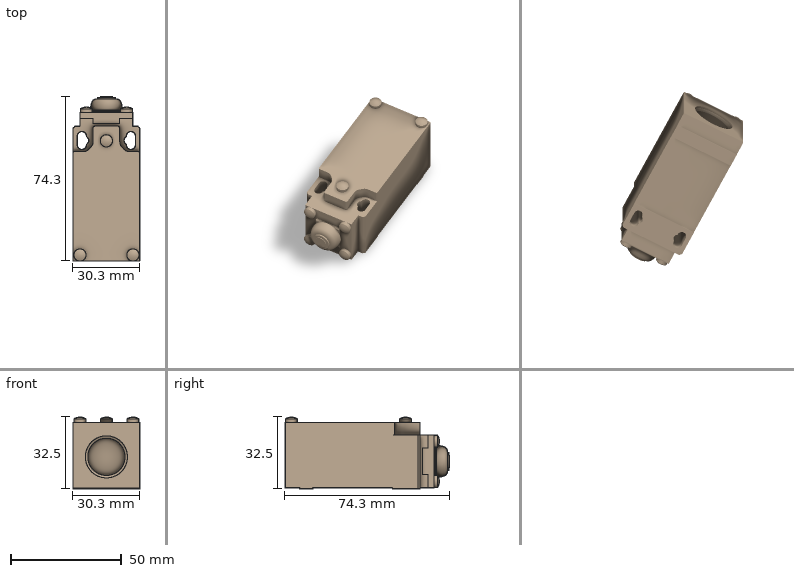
import cadquery as cq
import math


BODY_WIDTH = 30.3
BODY_HEIGHT = 29.6
BODY_LENGTH = 61.0
SIDE_EDGE_FILLET = 0.5
REAR_CHAMFER = 1.0

LEDGE_HEIGHT = 24.0
LEDGE_FRONT_Y = 49.5
COVER_NECK_WIDTH = 12.0
COVER_CORNER_RADIUS = 3.35
COVER_SLANT = 3.1
COVER_REAR_FILLET = 0.9
SELECT_MARGIN = 0.1

SLOT_X = 11.1
SLOT_Y = 54.5
SLOT_LENGTH = 8.0
SLOT_WIDTH = 4.0
NOTCH_OFFSET = 1.05

ENTRY_Z = 14.05
ENTRY_RADIUS = 9.5
ENTRY_BORE_RADIUS = 8.4
ENTRY_RIM_DEPTH = 1.0
ENTRY_CONE_DEPTH = 1.0
ENTRY_DEPTH = 6.0

FOOT_HEIGHT = 0.45
FRONT_FOOT_Y = 6.55
FRONT_FOOT_LENGTH = 5.95
REAR_FOOT_LENGTH = 12.55

SCREW_RADIUS = 2.75
SCREW_RIM_HEIGHT = 1.55
SCREW_DOME_HEIGHT = 0.9
COVER_SCREW_X = 11.95
COVER_SCREW_FRONT_Y = 2.8
COVER_SCREW_REAR_Y = 54.4
HEAD_SCREW_OFFSET = 9.1

HEAD_SIZE = LEDGE_HEIGHT
HEAD_JOINT_Y = 64.6
HEAD_END_Y = 67.25
HEAD_TAPER_LENGTH = 0.45
HEAD_TAPER_ANGLE = 10
TONGUE_WIDTH = COVER_NECK_WIDTH
TONGUE_LENGTH = 2.45

AXIS_Z = HEAD_SIZE / 2
BOOT_BASE_WIDTH = 12.5
BOOT_BEAD_HEIGHT = 0.5
BOOT_BEAD_CHAMFER = 0.45
BOOT_FOOT_RADIUS = 7.05
BOOT_WAIST_RADIUS = 7.1
BOOT_SHOULDER_RADIUS = 6.6
BOOT_SHOULDER_Y = 71.7
BOOT_WAIST_Y = 69.1
BOOT_TOP_RADIUS = 4.4
BOOT_TOP_Y = 73.3
BOOT_CROWN_ARC_RADIUS = 2.2

OVERALL_LENGTH = 74.3
PLUNGER_RADIUS = 4.0
BUTTON_RADIUS = 2.7
BUTTON_HEIGHT = 0.3


def box(width, y_start, y_end, z_start, z_end):
    """Block centred on X = 0 between the given Y and Z limits."""
    size = (width, y_end - y_start, z_end - z_start)
    return cq.Workplane("XY").box(*size, centered=(True, False, False)).translate((0, y_start, z_start))


def screw_head(base_plane):
    """Short cylinder with a spherical cap, standing on the given plane."""
    tip = SCREW_RIM_HEIGHT + SCREW_DOME_HEIGHT
    sphere_radius = (SCREW_RADIUS**2 + SCREW_DOME_HEIGHT**2) / (2 * SCREW_DOME_HEIGHT)
    half_angle = math.asin(SCREW_RADIUS / sphere_radius) / 2
    arc_middle = (
        sphere_radius * math.sin(half_angle),
        tip - sphere_radius * (1 - math.cos(half_angle)),
    )
    profile = (
        cq.Workplane("XY")
        .lineTo(SCREW_RADIUS, 0)
        .lineTo(SCREW_RADIUS, SCREW_RIM_HEIGHT)
        .threePointArc(arc_middle, (0, tip))
        .close()
    )
    upright = profile.revolve(360, (0, 0), (0, 1)).rotate((0, 0, 0), (1, 0, 0), 90)
    return cq.Workplane(upright.val().located(cq.Location(base_plane)))


def upright_edges_at(x, y):
    """Selector for the vertical cover edges that mirror each other at +x and -x."""
    middle_z = (LEDGE_HEIGHT + BODY_HEIGHT) / 2
    low_corner = (-x - SELECT_MARGIN, y - SELECT_MARGIN, middle_z - SELECT_MARGIN)
    high_corner = (x + SELECT_MARGIN, y + SELECT_MARGIN, middle_z + SELECT_MARGIN)
    return cq.selectors.BoxSelector(low_corner, high_corner)


def cover_block():
    """Upper part of the housing: full width at the front, a narrow neck between the ledges."""
    neck_half = COVER_NECK_WIDTH / 2
    half_width = BODY_WIDTH / 2
    outline = [
        (-half_width, 0),
        (half_width, 0),
        (half_width, LEDGE_FRONT_Y),
        (neck_half + COVER_SLANT, LEDGE_FRONT_Y),
        (neck_half, LEDGE_FRONT_Y + COVER_SLANT),
        (neck_half, BODY_LENGTH),
        (-neck_half, BODY_LENGTH),
        (-neck_half, LEDGE_FRONT_Y + COVER_SLANT),
        (-neck_half - COVER_SLANT, LEDGE_FRONT_Y),
        (-half_width, LEDGE_FRONT_Y),
    ]
    block = cq.Workplane("XY").workplane(offset=LEDGE_HEIGHT).polyline(outline).close()
    block = block.extrude(BODY_HEIGHT - LEDGE_HEIGHT)

    rounded_corners = [
        (neck_half, BODY_LENGTH, COVER_REAR_FILLET),
        (neck_half, LEDGE_FRONT_Y + COVER_SLANT, COVER_CORNER_RADIUS),
        (neck_half + COVER_SLANT, LEDGE_FRONT_Y, COVER_CORNER_RADIUS),
    ]
    for x, y, radius in rounded_corners:
        block = block.edges(upright_edges_at(x, y)).fillet(radius)
    return block.edges("|Z and (<X or >X)").fillet(SIDE_EDGE_FILLET)


def mounting_slots():
    """Through cutters for the two slots and their inward notches."""
    cutters = cq.Workplane("XY")
    for side in (-1, 1):
        slot = cq.Workplane("XY").center(side * SLOT_X, SLOT_Y).slot2D(SLOT_LENGTH, SLOT_WIDTH, 90)
        notch = cq.Workplane("XY").center(side * (SLOT_X - NOTCH_OFFSET), SLOT_Y).circle(SLOT_WIDTH / 2)
        cutters = cutters.add(slot.extrude(2 * BODY_HEIGHT, both=True))
        cutters = cutters.add(notch.extrude(2 * BODY_HEIGHT, both=True))
    return cutters.combine()


def cable_entry():
    """Revolved cutter along +Y: wide rim, cone, then the bore to its flat floor."""
    cone_end = ENTRY_RIM_DEPTH + ENTRY_CONE_DEPTH
    profile = [
        (0, 0),
        (ENTRY_RADIUS, 0),
        (ENTRY_RADIUS, ENTRY_RIM_DEPTH),
        (ENTRY_BORE_RADIUS, cone_end),
        (ENTRY_BORE_RADIUS, ENTRY_DEPTH),
        (0, ENTRY_DEPTH),
    ]
    cutter = cq.Workplane("XY").polyline(profile).close().revolve(360, (0, 0), (0, 1))
    return cutter.translate((0, 0, ENTRY_Z))


def head_tongue():
    """Cross-shaped tongue, as long as the plate in both directions."""
    tongue_start = HEAD_JOINT_Y - TONGUE_LENGTH
    low = AXIS_Z - TONGUE_WIDTH / 2
    high = AXIS_Z + TONGUE_WIDTH / 2
    upright = box(TONGUE_WIDTH, tongue_start, HEAD_JOINT_Y, 0, HEAD_SIZE)
    return upright.union(box(HEAD_SIZE, tongue_start, HEAD_JOINT_Y, low, high))


def make_housing():
    lower = box(BODY_WIDTH, 0, BODY_LENGTH, 0, LEDGE_HEIGHT)
    rear_foot = box(BODY_WIDTH, BODY_LENGTH - REAR_FOOT_LENGTH, BODY_LENGTH, -FOOT_HEIGHT, 0)
    front_foot = box(BODY_WIDTH, FRONT_FOOT_Y, FRONT_FOOT_Y + FRONT_FOOT_LENGTH, -FOOT_HEIGHT, 0)
    lower = lower.union(rear_foot).union(front_foot)
    lower = lower.edges("|Z and >Y").chamfer(REAR_CHAMFER)
    lower = lower.edges("|Z and <Y").fillet(SIDE_EDGE_FILLET)
    neck = box(HEAD_SIZE, BODY_LENGTH, HEAD_JOINT_Y, 0, HEAD_SIZE)
    housing = lower.union(cover_block()).union(neck)
    housing = housing.cut(mounting_slots()).cut(cable_entry()).cut(head_tongue())
    screw_places = [
        (-COVER_SCREW_X, COVER_SCREW_FRONT_Y),
        (COVER_SCREW_X, COVER_SCREW_FRONT_Y),
        (0, COVER_SCREW_REAR_Y),
    ]
    for x, y in screw_places:
        housing = housing.union(screw_head(cq.Plane((x, y, BODY_HEIGHT))))
    return housing


def make_head():
    taper_start = HEAD_END_Y - HEAD_TAPER_LENGTH
    plate = box(HEAD_SIZE, HEAD_JOINT_Y, taper_start, 0, HEAD_SIZE)
    taper_plane = cq.Plane((0, taper_start, AXIS_Z), xDir=(1, 0, 0), normal=(0, 1, 0))
    rim = cq.Workplane(taper_plane).rect(HEAD_SIZE, HEAD_SIZE)
    rim = rim.extrude(HEAD_TAPER_LENGTH, taper=HEAD_TAPER_ANGLE)
    head = plate.union(rim).union(head_tongue())
    for x_side in (-1, 1):
        for z_side in (-1, 1):
            place = (x_side * HEAD_SCREW_OFFSET, HEAD_END_Y, AXIS_Z + z_side * HEAD_SCREW_OFFSET)
            head = head.union(screw_head(cq.Plane(place, xDir=(1, 0, 0), normal=(0, 1, 0))))
    return head


def make_boot():
    half = BOOT_BASE_WIDTH / 2
    boot = cq.Workplane("XY")
    for bead in (0, 1):
        start = HEAD_END_Y + bead * BOOT_BEAD_HEIGHT
        tier = box(BOOT_BASE_WIDTH, start, start + BOOT_BEAD_HEIGHT, AXIS_Z - half, AXIS_Z + half)
        tier = tier.faces(">Y").edges().chamfer(BOOT_BEAD_CHAMFER)
        boot = boot.add(tier)
    dome_start = HEAD_END_Y + 2 * BOOT_BEAD_HEIGHT
    dome = (
        cq.Workplane("XY")
        .moveTo(0, dome_start)
        .lineTo(BOOT_FOOT_RADIUS, dome_start)
        .threePointArc((BOOT_WAIST_RADIUS, BOOT_WAIST_Y), (BOOT_SHOULDER_RADIUS, BOOT_SHOULDER_Y))
        .radiusArc((BOOT_TOP_RADIUS, BOOT_TOP_Y), -BOOT_CROWN_ARC_RADIUS)
        .lineTo(0, BOOT_TOP_Y)
        .close()
        .revolve(360, (0, 0), (0, 1))
        .translate((0, 0, AXIS_Z))
    )
    return boot.add(dome).combine()


def make_plunger():
    disc_height = OVERALL_LENGTH - BUTTON_HEIGHT - BOOT_TOP_Y
    plane = cq.Plane((0, BOOT_TOP_Y, AXIS_Z), xDir=(1, 0, 0), normal=(0, 1, 0))
    disc = cq.Workplane(plane).circle(PLUNGER_RADIUS).extrude(disc_height)
    return disc.faces(">Y").workplane().circle(BUTTON_RADIUS).extrude(BUTTON_HEIGHT)


housing = make_housing()
head = make_head()
boot = make_boot()
plunger = make_plunger()
result = cq.Compound.makeCompound([housing.val(), head.val(), boot.val(), plunger.val()])